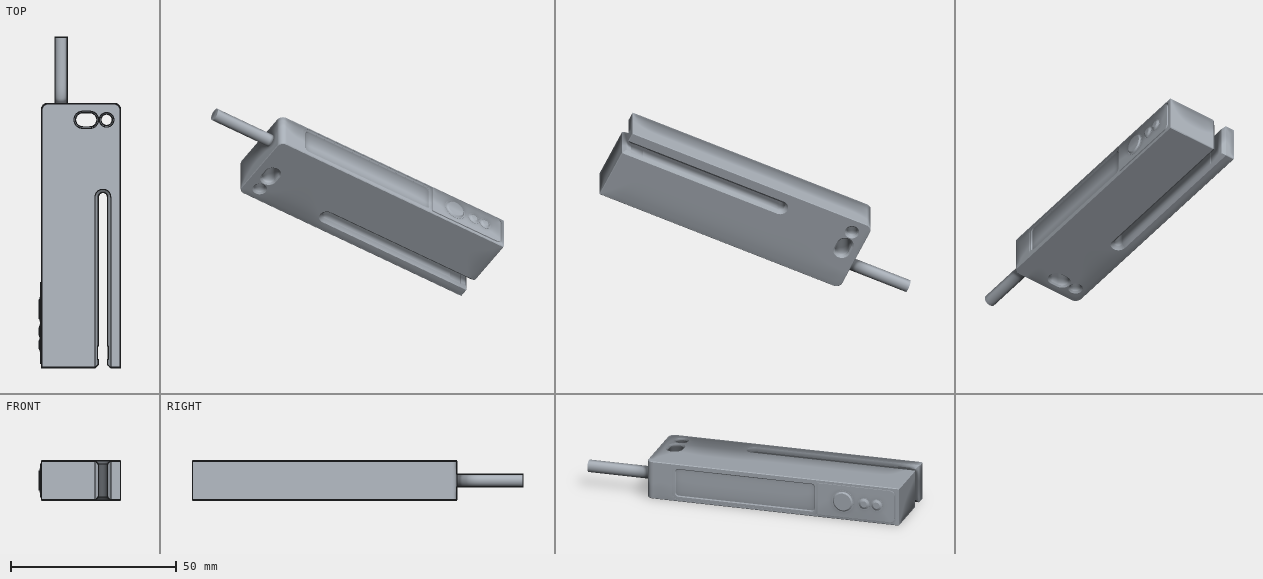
import cadquery as cq

BODY_WIDTH = 24.0
BODY_LENGTH = 80.0
BODY_HEIGHT = 12.0
MID_HEIGHT = BODY_HEIGHT / 2
REAR_CORNER_RADIUS = 2.0
EDGE_CHAMFER = 0.2

CABLE_DIAMETER = 3.8
CABLE_LENGTH = 20.0
CABLE_X = 6.0

ARM_THICKNESS = 3.0
SLOT_CHAMFER = 1.0
SLOT_WIDTH = 2.75
SLOT_DEPTH = 53.0
SLOT_X = BODY_WIDTH - ARM_THICKNESS - SLOT_CHAMFER - SLOT_WIDTH / 2

RECESS_DEPTH = 0.2
RECESS_LENGTH = 4.0
RECESS_Y = 4.6

HOLE_Y = BODY_LENGTH - 5.0
HOLE_CHAMFER = 0.5
ROUND_HOLE_DIAMETER = 3.4
ROUND_HOLE_X = 19.75
OBLONG_HOLE_LENGTH = 6.4
OBLONG_HOLE_WIDTH = 4.2
OBLONG_HOLE_X = 13.6

PANEL_MARGIN = 0.65
PANEL_REAR_Y = 71.9
PANEL_RADIUS = 2.0
PANEL_DEPTH = 0.1

PLATE_FRONT_Y = 1.3
PLATE_REAR_Y = 25.8
PLATE_MARGIN = 0.95
PLATE_RADIUS = 1.6
PLATE_HEIGHT = 0.25

WINDOW_FRONT_Y = 26.6
WINDOW_REAR_Y = 71.05
WINDOW_MARGIN = 1.5
WINDOW_RADIUS = 1.2
WINDOW_DEPTH = 0.3
WINDOW_BEVEL = 0.29

CONTROL_HEIGHT = 0.5
FLANGE_HEIGHT = 0.1
BUTTON_Y = 17.7
BUTTON_DIAMETERS = (7.0, 6.3, 5.4)
INDICATOR_YS = (7.0, 11.0)
INDICATOR_DIAMETERS = (3.9, 3.4, 2.0)

SELECT_CLEARANCE = 0.5


def make_housing():
    block = cq.Workplane("XY").box(BODY_WIDTH, BODY_LENGTH, BODY_HEIGHT, centered=False)
    return block.edges("|Z and >Y").fillet(REAR_CORNER_RADIUS)


def add_cable(body):
    rear_face = cq.Workplane("XZ", origin=(CABLE_X, BODY_LENGTH, MID_HEIGHT))
    return body.union(rear_face.circle(CABLE_DIAMETER / 2).extrude(-CABLE_LENGTH))


def box_around(low_x, high_x, low_y, high_y):
    """Selector for everything between these X and Y limits, over the full height."""
    return cq.selectors.BoxSelector(
        (low_x, low_y, -SELECT_CLEARANCE), (high_x, high_y, BODY_HEIGHT + SELECT_CLEARANCE)
    )


def cut_slot(body):
    radius = SLOT_WIDTH / 2
    slot = (
        cq.Workplane("XY", origin=(SLOT_X, 0, 0))
        .moveTo(-radius, 0)
        .lineTo(-radius, SLOT_DEPTH - radius)
        .threePointArc((0, SLOT_DEPTH), (radius, SLOT_DEPTH - radius))
        .lineTo(radius, 0)
        .close()
        .extrude(BODY_HEIGHT)
    )
    body = body.cut(slot)

    reach = radius + SLOT_CHAMFER + SELECT_CLEARANCE
    around_slot = box_around(
        SLOT_X - reach, SLOT_X + reach, -SELECT_CLEARANCE, SLOT_DEPTH + SLOT_CHAMFER + SELECT_CLEARANCE
    )
    body = body.faces("<Z or >Z or <Y").edges(around_slot).chamfer(SLOT_CHAMFER)
    outline = body.faces("<Z or >Z").edges(cq.selectors.InverseSelector(around_slot))
    return outline.chamfer(EDGE_CHAMFER)


def cut_slot_recesses(body):
    recess = cq.Workplane("XY").box(SLOT_WIDTH + 2 * RECESS_DEPTH, RECESS_LENGTH, BODY_HEIGHT)
    return body.cut(recess.translate((SLOT_X, RECESS_Y, MID_HEIGHT)))


def cut_mounting_holes(body):
    plane = cq.Workplane("XY")
    round_hole = plane.center(ROUND_HOLE_X, HOLE_Y).circle(ROUND_HOLE_DIAMETER / 2).extrude(BODY_HEIGHT)
    oblong = plane.center(OBLONG_HOLE_X, HOLE_Y).slot2D(OBLONG_HOLE_LENGTH, OBLONG_HOLE_WIDTH)
    oblong_hole = oblong.extrude(BODY_HEIGHT)
    for hole in (round_hole, oblong_hole):
        body = body.cut(hole)
    around_holes = box_around(
        OBLONG_HOLE_X - OBLONG_HOLE_LENGTH / 2 - SELECT_CLEARANCE,
        ROUND_HOLE_X + ROUND_HOLE_DIAMETER / 2 + SELECT_CLEARANCE,
        HOLE_Y - OBLONG_HOLE_WIDTH,
        HOLE_Y + OBLONG_HOLE_WIDTH,
    )
    return body.faces("<Z or >Z").edges(around_holes).chamfer(HOLE_CHAMFER)


def side_slab(front_y, rear_y, margin, outer_x, inner_x):
    """Rectangular slab parallel to the left face, margin clear of the top and bottom."""
    slab = cq.Workplane("XY").box(
        inner_x - outer_x, rear_y - front_y, BODY_HEIGHT - 2 * margin, centered=False
    )
    return slab.translate((outer_x, front_y, margin))


def add_side_panel(body):
    panel = side_slab(PANEL_MARGIN, PANEL_REAR_Y, PANEL_MARGIN, 0, PANEL_DEPTH)
    body = body.cut(panel.edges("|X").fillet(PANEL_RADIUS))

    window_floor = PANEL_DEPTH + WINDOW_DEPTH
    window = side_slab(WINDOW_FRONT_Y, WINDOW_REAR_Y, WINDOW_MARGIN, PANEL_DEPTH, window_floor)
    window = window.edges("|X").fillet(WINDOW_RADIUS)
    body = body.cut(window.faces(">X").edges().chamfer(WINDOW_BEVEL))

    plate = side_slab(PLATE_FRONT_Y, PLATE_REAR_Y, PLATE_MARGIN, -PLATE_HEIGHT, PANEL_DEPTH)
    return body.union(plate.edges("|X and <Y").fillet(PLATE_RADIUS))


def make_control(y, diameters):
    """Turned knob on the control plate: a thin flange carrying a blunt cone."""
    flange_radius, foot_radius, top_radius = (diameter / 2 for diameter in diameters)
    return (
        cq.Workplane("XY", origin=(-PLATE_HEIGHT, y, MID_HEIGHT))
        .lineTo(0, flange_radius)
        .lineTo(-FLANGE_HEIGHT, flange_radius)
        .lineTo(-FLANGE_HEIGHT, foot_radius)
        .lineTo(-CONTROL_HEIGHT, top_radius)
        .lineTo(-CONTROL_HEIGHT, 0)
        .close()
        .revolve(360, (0, 0, 0), (1, 0, 0))
    )


def add_controls(body):
    body = body.union(make_control(BUTTON_Y, BUTTON_DIAMETERS))
    for y in INDICATOR_YS:
        body = body.union(make_control(y, INDICATOR_DIAMETERS))
    return body


result = make_housing()
result = cut_slot(result)
result = cut_slot_recesses(result)
result = cut_mounting_holes(result)
result = add_cable(result)
result = add_side_panel(result)
result = add_controls(result)